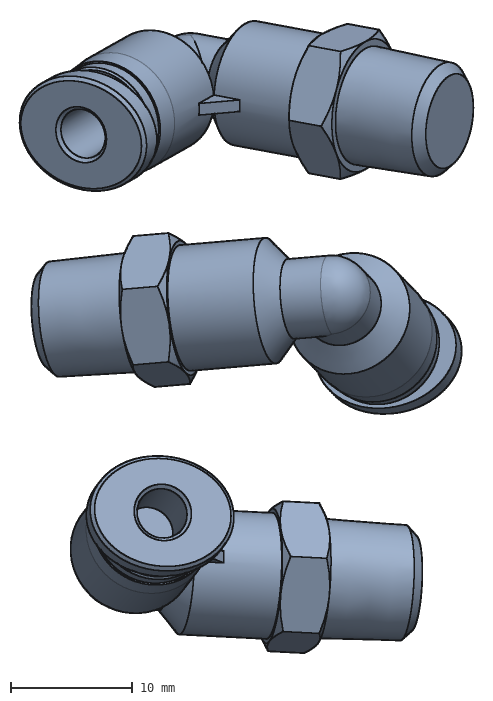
import cadquery as cq
import math


neck_radius = 3.3
barrel_radius = 10.4 / 2
run_shoulder_start = 3.45
arm_shoulder_start = neck_radius
shoulder_end = barrel_radius
run_end = 12.5
taper_start = 11.75
taper_end = 13.8
taper_end_radius = 5.05
nose_radius = 9.8 / 2
nose_chamfer = 0.18
arm_end = 15.2
rib_leg = 2.45
rib_thickness = 1.0
rib_root = 0.92

hex_across_flats = 11.1
hex_length = 4.07
hex_chamfer_length = 0.52
thread_start_radius = 4.95
thread_end_radius = 4.77
thread_taper_end = 23.7
stud_end = 24.55
stud_end_radius = 3.95

stem_radius = 5.2 / 2
bore_radius = 4.2 / 2
bore_chamfer = 0.3
flange_width = 12.05
flange_height = 9.8
flange_chamfer = 0.3
flange_start = 16.1
collet_end = 18.08
stem_start = taper_start


def revolve_on_x(profile):
    """Revolve an (axial, radius) profile around the X axis."""
    return cq.Workplane("XY").polyline(profile).close().revolve(360, (0, 0, 0), (1, 0, 0))


def revolve_on_arm(profile):
    """Revolve an (axial, radius) profile around X, then turn it to point along -Y."""
    return revolve_on_x(profile).rotate((0, 0, 0), (0, 0, 1), -90)


def make_rib():
    """Triangular web filling the inner corner between run and arm."""
    root = barrel_radius - rib_root
    tip = barrel_radius + rib_leg
    outline = [
        (root, -root),
        (tip, -root),
        (tip, -barrel_radius),
        (barrel_radius, -tip),
        (root, -tip),
    ]
    return cq.Workplane("XY").polyline(outline).close().extrude(rib_thickness / 2, both=True)


def make_elbow():
    """Two stepped barrels joined by a spherical corner and a rib, with a stem socket."""
    run = revolve_on_x([
        (0, 0),
        (0, neck_radius),
        (run_shoulder_start, neck_radius),
        (shoulder_end, barrel_radius),
        (run_end, barrel_radius),
        (run_end, 0),
    ])
    arm = revolve_on_arm([
        (0, 0),
        (0, neck_radius),
        (arm_shoulder_start, neck_radius),
        (shoulder_end, barrel_radius),
        (taper_start, barrel_radius),
        (taper_end, taper_end_radius),
        (taper_end, nose_radius),
        (arm_end - nose_chamfer, nose_radius),
        (arm_end, nose_radius - nose_chamfer),
        (arm_end, 0),
    ])
    corner = cq.Workplane("XY").sphere(neck_radius)
    socket = revolve_on_arm([
        (stem_start, 0),
        (stem_start, stem_radius),
        (arm_end, stem_radius),
        (arm_end, 0),
    ])
    return run.union(arm).union(corner).union(make_rib()).cut(socket)


def make_stud():
    """Chamfered hexagon with a tapered threaded end, seated on the run."""
    hex_end = run_end + hex_length
    flat_radius = hex_across_flats / 2
    corner_radius = flat_radius / math.cos(math.pi / 6)
    hexagon = (
        cq.Workplane("YZ", origin=(run_end, 0, 0))
        .polygon(6, 2 * corner_radius)
        .extrude(hex_length)
    )
    envelope = revolve_on_x([
        (run_end, 0),
        (run_end, flat_radius),
        (run_end + hex_chamfer_length, corner_radius),
        (hex_end - hex_chamfer_length, corner_radius),
        (hex_end, flat_radius),
        (hex_end, 0),
    ])
    thread = revolve_on_x([
        (hex_end, 0),
        (hex_end, thread_start_radius),
        (thread_taper_end, thread_end_radius),
        (stud_end, stud_end_radius),
        (stud_end, 0),
    ])
    return hexagon.intersect(envelope).union(thread)


def make_collet():
    """Oval release flange on a round stem, bored through, seated in the arm's socket."""
    flange = (
        cq.Workplane("XZ", origin=(0, -flange_start, 0))
        .ellipse(flange_width / 2, flange_height / 2)
        .extrude(collet_end - flange_start)
        .faces("<Y")
        .chamfer(flange_chamfer)
    )
    stem = (
        cq.Workplane("XZ", origin=(0, -stem_start, 0))
        .circle(stem_radius)
        .extrude(flange_start - stem_start)
    )
    bore = revolve_on_arm([
        (stem_start, 0),
        (stem_start, bore_radius),
        (collet_end - bore_chamfer, bore_radius),
        (collet_end, bore_radius + bore_chamfer),
        (collet_end, 0),
    ])
    return flange.union(stem).cut(bore)


elbow = make_elbow()
stud = make_stud()
collet = make_collet()

result = cq.Compound.makeCompound([elbow.solids().val(), stud.solids().val(), collet.solids().val()])